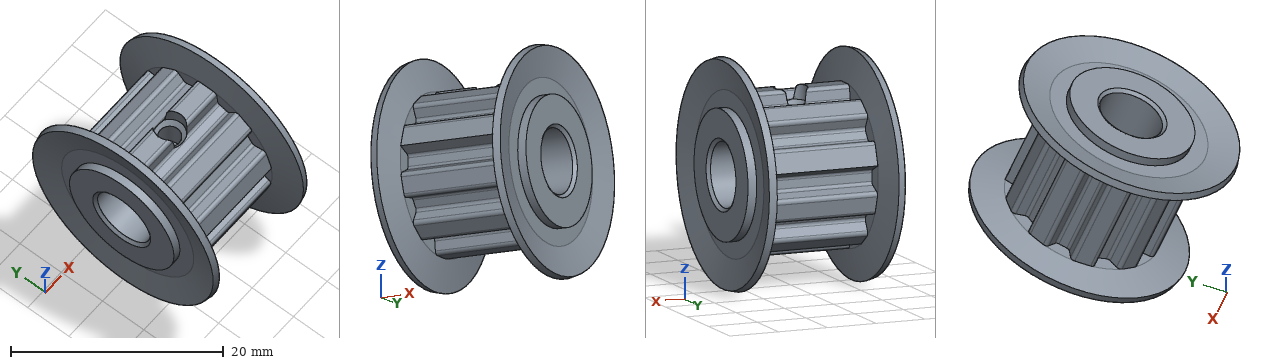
import cadquery as cq
import math

overall_length = 14.3
belt_width = 11.0
bore_diameter = 6.35
bore_chamfer = 0.32
hub_diameter = 12.65

flange_diameter = 22.23
flange_thickness = 0.76
flange_bend_diameter = 16.0
flange_angle = 13.0

tooth_count = 10
tip_diameter = 15.75
groove_depth = 1.43
groove_bottom_width = 1.32
groove_angle = 50.0
tip_fillet = .42
root_fillet = .38

screw_hole_diameter = 2.25
screw_relief_diameter = 3.2
screw_cone_top = 6.4

tip_radius = tip_diameter / 2
root_radius = tip_radius - groove_depth
pitch_angle = 360 / tooth_count
side_tooth_height = tip_radius * math.sin(math.radians(pitch_angle / 2))
cutter_clearance = 1.0
cutter_top = tip_radius + cutter_clearance
axis_start = (0, 0, 0)
axis_end = (1, 0, 0)


def is_rounded_tip(point):
    """True for tooth tip edges, except the sharp ones just above the -Y and +Y directions."""
    at_tip = math.hypot(point.y, point.z) > tip_radius
    is_sharp = 0 < point.z < side_tooth_height
    return at_tip and not is_sharp


def toothed_core():
    """Prism with a flat land per tooth and straight-sided grooves, a tooth centred on +Z."""
    core = (
        cq.Workplane("YZ")
        .polygon(tooth_count, 2 * tip_radius, circumscribed=True)
        .extrude(belt_width / 2, both=True)
        .rotate(axis_start, axis_end, pitch_angle / 2)
    )
    flank_slope = math.tan(math.radians(groove_angle / 2))
    bottom_half = groove_bottom_width / 2
    top_half = bottom_half + (cutter_top - root_radius) * flank_slope
    groove = (
        cq.Workplane("YZ")
        .polyline([
            (-bottom_half, root_radius),
            (bottom_half, root_radius),
            (top_half, cutter_top),
            (-top_half, cutter_top),
        ])
        .close()
        .extrude(belt_width / 2, both=True)
        .edges("|X and <Z")
        .fillet(root_fillet)
    )
    for index in range(tooth_count):
        core = core.cut(groove.rotate(axis_start, axis_end, (index + 0.5) * pitch_angle))

    tip_edges = [edge for edge in core.edges("|X").vals() if is_rounded_tip(edge.Center())]
    return core.newObject(tip_edges).fillet(tip_fillet)


def flange():
    """Dished flange and raised hub on the +X end."""
    lean = math.radians(flange_angle)
    bend_radius = flange_bend_diameter / 2
    rim_radius = flange_diameter / 2
    inner_face = belt_width / 2
    outer_face = inner_face + flange_thickness
    inner_bend_radius = bend_radius - flange_thickness * math.tan(lean / 2)
    rim_inner_x = inner_face + (rim_radius - inner_bend_radius) * math.tan(lean)
    rim_outer_x = rim_inner_x + flange_thickness * math.cos(lean)
    rim_outer_radius = rim_radius - flange_thickness * math.sin(lean)
    hub_radius = hub_diameter / 2
    hub_face = overall_length / 2
    return (
        cq.Workplane("XZ")
        .polyline([
            (inner_face, 0),
            (inner_face, inner_bend_radius),
            (rim_inner_x, rim_radius),
            (rim_outer_x, rim_outer_radius),
            (outer_face, bend_radius),
            (outer_face, hub_radius),
            (hub_face, hub_radius),
            (hub_face, 0),
        ])
        .close()
        .revolve(360, axis_start, axis_end)
    )


def bore():
    """Through bore with a chamfer at each end."""
    radius = bore_diameter / 2
    half_length = overall_length / 2
    return (
        cq.Workplane("XZ")
        .polyline([
            (-half_length, 0),
            (-half_length, radius + bore_chamfer),
            (-half_length + bore_chamfer, radius),
            (half_length - bore_chamfer, radius),
            (half_length, radius + bore_chamfer),
            (half_length, 0),
        ])
        .close()
        .revolve(360, axis_start, axis_end)
    )


def screw_hole():
    """Radial hole from the bore to +Z, opened by a cone to the wider relief."""
    hole_radius = screw_hole_diameter / 2
    relief_radius = screw_relief_diameter / 2
    cone_bottom = screw_cone_top - (relief_radius - hole_radius)
    return (
        cq.Workplane("XZ")
        .polyline([
            (0, 0),
            (hole_radius, 0),
            (hole_radius, cone_bottom),
            (relief_radius, screw_cone_top),
            (relief_radius, cutter_top),
            (0, cutter_top),
        ])
        .close()
        .revolve(360, (0, 0, 0), (0, 1, 0))
    )


right_flange = flange()
left_flange = right_flange.mirror("YZ")
result = toothed_core().union(right_flange).union(left_flange).cut(bore()).cut(screw_hole())